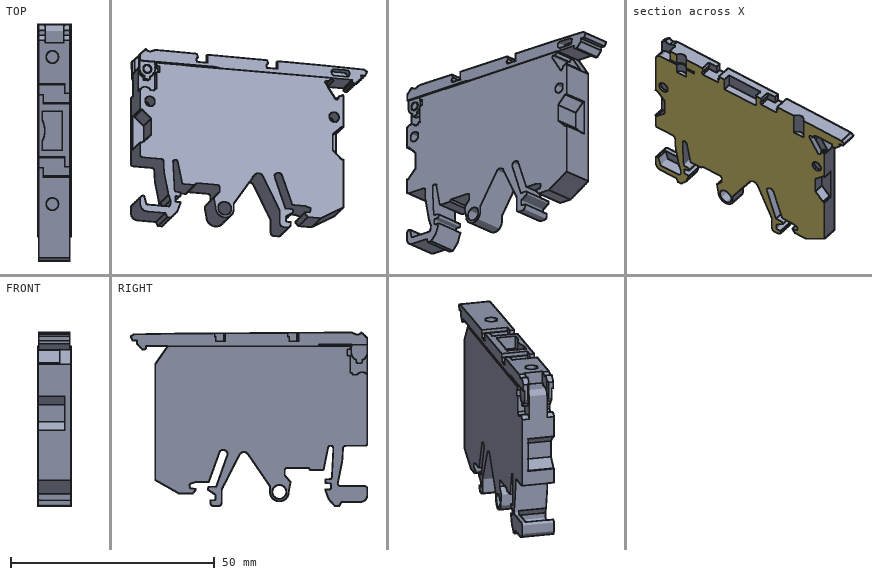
import cadquery as cq
import math


THICKNESS = 8.1
HOUSING_LENGTH = 52.0
HOUSING_TOP = 39.2
FRONT_CHAMFER_RUN = 48.9
FRONT_CHAMFER_Z = 34.8
BOTTOM_CORNER_Z = 6.4

BOSS_RUN = 21.6
BOSS_Z = 3.5
BOSS_RADIUS = 2.3
BOSS_HOLE_DIAMETER = 3.35
FOOT_TOP = 5.0
FOOT_POCKET_DEPTH = 6.95

SIDE_HOLE_RUNS = (2.5, 49.55)
SIDE_HOLE_Z = 29.25
SIDE_HOLE_DIAMETER = 2.5
SIDE_HOLE_DEPTH = 4.65
ENTRY_WIDTH = 6.6
ENTRY_DEPTH = 2.8
ENTRY_LIP = 0.45
ENTRY_TOP = 27.0
ENTRY_BOTTOM = 18.55
ENTRY_SLOPE = 2.15
CORNER_RECESS_WIDTH = 5.4

WEB_LEFT = 1.75
WEB_RIGHT = 6.3
WEB_ROUND = 2.0
HINGE_LENGTH = 4.2
HINGE_POCKET_BOTTOM = 32.15
HINGE_BUMP_WIDTH = 2.6
HINGE_BUMP_HEIGHT = 0.7
CATCH_DEPTH = 0.8
CATCH_WIDTH = 1.55
LUG_RADIUS = 2.0
LUG_RUN = LUG_RADIUS
LUG_Z = 37.65
LUG_INSET = 0.6
KEY_WIDTH = 1.45
KEY_BOTTOM = 35.05
KEY_ROUND = 0.35
PIN_DIAMETER = 1.9
PIN_HOLE_DIAMETER = 2.15
PIN_GROOVE_DEPTH = 0.1

LEVER_LEFT = 0.2
LEVER_RIGHT = 7.85
LEVER_TOP = 42.6
LEVER_BOTTOM = 39.6
LEVER_LENGTH = 58.05
GAP_OPEN_END = 11.85
GAP_TAPER_START = 19.15
GAP_END = 20.9
GAP_RECESS_X = 0.35
SCREW_X = 3.55
SCREW_RUNS = (8.0, 44.05)
SCREW_DIAMETER = 3.0
SCREW_DEPTH = 5.8
HINGE_SLOT_LENGTH = 4.45
HINGE_SLOT_FLARE = 0.4
CHANNEL_RUNS = (14.5, 32.45)
CHANNEL_FLOOR = 40.45
CHANNEL_LEFT_STEP = 1.35
CHANNEL_RIGHT_STEP = 6.55
CHANNEL_LENGTH = 5.0
CHANNEL_LEFT_LENGTH = 2.7
CHANNEL_RIGHT_START = 2.45
CHANNEL_LEDGE = 0.3
CHANNEL_LEDGE_Z = 41.5
RIB_DEPTH = 0.3
RIB_Z = 41.6
RIB_TOE = 0.1
UNDERCUT_DEPTH = 0.2
UNDERCUT_Z = 40.95
WINDOW_LEFT = 1.1
WINDOW_RIGHT = 5.9
WINDOW_START = 21.25
WINDOW_END = 30.9
WINDOW_BULGE = 0.6
WINDOW_BULGE_LENGTH = 5.0
GRIP_RUN = 51.25
GRIP_Z = 40.75
GRIP_LENGTH = 4.65
GRIP_HEIGHT = 1.7
GRIP_DEPTH = 2.3

OVERCUT = 0.6


def side_plane(x):
    """Sketch plane at a given X with run across and Z up; positive extrusion goes toward -X."""
    plane = cq.Plane(origin=(x, 0, 0), xDir=(0, -1, 0), normal=(-1, 0, 0))
    return cq.Workplane(plane)


def rounded_outline(sketch, corners):
    """Close a polygon of (x, y, radius) corners, rounding each one with a tangent arc."""
    pieces = []
    for index, (x, y, radius) in enumerate(corners):
        before = corners[index - 1]
        after = corners[(index + 1) % len(corners)]
        to_before = cq.Vector(before[0] - x, before[1] - y).normalized()
        to_after = cq.Vector(after[0] - x, after[1] - y).normalized()
        corner = cq.Vector(x, y)
        if radius == 0:
            pieces.append((corner,))
            continue
        half_angle = to_before.getAngle(to_after) / 2
        setback = radius / math.tan(half_angle)
        apex_gap = radius / math.sin(half_angle) - radius
        bisector = (to_before + to_after).normalized()
        arc_start = corner + to_before * setback
        arc_end = corner + to_after * setback
        pieces.append((arc_start, corner + bisector * apex_gap, arc_end))
    sketch = sketch.moveTo(pieces[0][-1].x, pieces[0][-1].y)
    for piece in pieces[1:] + pieces[:1]:
        sketch = sketch.lineTo(piece[0].x, piece[0].y)
        if len(piece) == 3:
            sketch = sketch.threePointArc((piece[1].x, piece[1].y), (piece[2].x, piece[2].y))
    return sketch.close()


def side_prism(corners, left, right):
    """Extrude a rounded side profile between two X positions."""
    return rounded_outline(side_plane(left), corners).extrude(left - right)


def sharp(points):
    """Give every point of a polygon a zero corner radius."""
    return [(x, y, 0) for x, y in points]


def side_box(run_start, run_end, z_low, z_high, left, right):
    """Box between two runs, two heights and two X positions."""
    corners = [(run_start, z_low), (run_end, z_low), (run_end, z_high), (run_start, z_high)]
    return side_prism(sharp(corners), left, right)


def side_cylinder(run, z, diameter, left, right):
    """Cylinder along X."""
    return side_plane(left).center(run, z).circle(diameter / 2).extrude(left - right)


def housing_block():
    """Full-thickness housing with its two rail feet and the middle boss."""
    back_foot = [
        (0, 14.75, 0.6), (5.9, 14.75, 0.6), (6.1, 11.3, 8.7), (7.35, FOOT_TOP, 0.6),
        (0, FOOT_TOP, 0.8), (0, 1.0, 1.75), (6.4, 1.0, 0), (6.9, 0, 0), (7.95, 0, 0),
        (9.5, 1.7, 2.3), (10.4, 4.1, 0), (8.95, 4.1, 0.35), (8.95, 5.55, 0.35),
        (10.35, 5.6, 0.3), (10.35, 6.6, 0.35), (8.75, 6.7, 0.45), (8.4, 13.3, 0),
        (8.4, 14.8, 0.5), (9.5, 14.8, 0.5), (10.75, 8.8, 0.35),
    ]
    boss_neck = [
        (14.05, 8.8, 0), (14.4, 9.35, 0), (20.25, 9.35, 0.5), (20.25, 7.6, 0),
        (18.8, 5.9, 0.3), (BOSS_RUN - BOSS_RADIUS, BOSS_Z, 0),
        (BOSS_RUN + BOSS_RADIUS, BOSS_Z, 0), (23.9, 4.9, 0.3), (30.4, 14.4, 1.2),
    ]
    front_foot = [
        (35.7, 4.05, 0.6), (35.7, 0, 0.85), (38.5, 0, 0.8), (38.5, 1.45, 0),
        (37.25, 1.45, 0.3), (37.25, 2.8, 0.2), (39.1, 4.0, 0.25), (39.0, 4.75, 0.4),
        (37.1, 4.75, 0), (34.05, 13.35, 0.9), (35.9, 14.05, 0.9), (38.9, 5.85, 0.3),
    ]
    front_hook = [
        (42.15, 5.85, 0), (43.65, 5.4, 0.35), (43.4, 4.4, 0.25), (41.85, 4.2, 0.2),
        (42.8, 3.1, 0), (46.2, 3.1, 0), (HOUSING_LENGTH, BOTTOM_CORNER_Z, 0),
    ]
    top = sharp([
        (HOUSING_LENGTH, FRONT_CHAMFER_Z), (FRONT_CHAMFER_RUN, HOUSING_TOP), (0, HOUSING_TOP),
    ])
    outline = back_foot + boss_neck + front_foot + front_hook + top
    block = side_prism(outline, 0, THICKNESS)
    block = block.union(side_cylinder(BOSS_RUN, BOSS_Z, 2 * BOSS_RADIUS, 0, THICKNESS))
    return block.cut(side_cylinder(BOSS_RUN, BOSS_Z, BOSS_HOLE_DIAMETER, 0, THICKNESS))


def foot_pocket():
    """Trough in the back foot, open at the left face and on top."""
    corners = [
        (1.0, FOOT_TOP, 0), (1.6, 2.7, 0.35), (7.7, 2.7, 0.7), (7.7, 4.35, 0),
        (7.25, 5.75, 0), (6.6, FOOT_TOP, 0),
    ]
    return side_prism(corners, 0, FOOT_POCKET_DEPTH)


def entry_pocket(face_run, inward):
    """Wire-entry pocket in an end face; inward is the direction of its depth along the run."""
    mouth = face_run
    lip = face_run + inward * ENTRY_LIP
    floor = face_run + inward * ENTRY_DEPTH
    corners = [
        (mouth, ENTRY_TOP), (lip, ENTRY_TOP), (floor, ENTRY_TOP - ENTRY_SLOPE),
        (floor, ENTRY_BOTTOM + ENTRY_SLOPE), (lip, ENTRY_BOTTOM), (mouth, ENTRY_BOTTOM),
    ]
    return side_prism(sharp(corners), 0, ENTRY_WIDTH)


def corner_recess():
    """Marker recess sunk into the sloping front corner."""
    corners = [
        (48.9, 39.05, 0), (48.2, 38.2, 0), (47.7, 38.5, 0.25), (47.2, 38.05, 0.25),
        (50.15, 33.65, 0.25), (50.65, 34.1, 0.2), (50.8, 34.65, 0), (51.75, 35.05, 0),
        (51.75, 36.0, 0),
    ]
    return side_prism(corners, 0, CORNER_RECESS_WIDTH)


def hinge_pocket(left, right):
    """Clearance beside the hinge web, with a bumped floor and a catch notch for the lug key."""
    bump_end = (HINGE_BUMP_WIDTH, HINGE_POCKET_BOTTOM)
    bump_top = (HINGE_BUMP_WIDTH / 2, HINGE_POCKET_BOTTOM + HINGE_BUMP_HEIGHT)
    floor_round = 0.6
    pocket = (
        side_plane(left)
        .moveTo(0, HINGE_POCKET_BOTTOM)
        .threePointArc(bump_top, bump_end)
        .lineTo(HINGE_LENGTH - floor_round, HINGE_POCKET_BOTTOM)
        .radiusArc((HINGE_LENGTH, HINGE_POCKET_BOTTOM + floor_round), floor_round)
        .lineTo(HINGE_LENGTH, HOUSING_TOP)
        .lineTo(0, HOUSING_TOP)
        .close()
        .extrude(left - right)
    )
    catch_end = HINGE_LENGTH + CATCH_DEPTH
    catch_low = LUG_Z - CATCH_WIDTH / 2
    catch_high = LUG_Z + CATCH_WIDTH / 2
    catch = [
        (HINGE_LENGTH - OVERCUT, catch_low, 0), (catch_end, catch_low, KEY_ROUND),
        (catch_end, catch_high, KEY_ROUND), (HINGE_LENGTH - OVERCUT, catch_high, 0),
    ]
    return pocket.union(side_prism(catch, left, right))


def web_rounding():
    """Waste above the rounded back corner of the hinge web."""
    corner = side_box(0, WEB_ROUND, HOUSING_TOP - WEB_ROUND, HOUSING_TOP, 0, THICKNESS)
    return corner.cut(
        side_cylinder(WEB_ROUND, HOUSING_TOP - WEB_ROUND, 2 * WEB_ROUND, 0, THICKNESS)
    )


def hinge_lug(left, right):
    """Round-ended lever lug with a key at its lower end."""
    lug = side_cylinder(LUG_RUN, LUG_Z, 2 * LUG_RADIUS, left, right)
    neck = side_box(LUG_RUN - LUG_RADIUS, LUG_RUN + LUG_RADIUS, LUG_Z, LEVER_BOTTOM, left, right)
    key_back = LUG_RUN - KEY_WIDTH / 2
    key_front = LUG_RUN + KEY_WIDTH / 2
    key = [
        (key_back, KEY_BOTTOM, KEY_ROUND), (key_front, KEY_BOTTOM, KEY_ROUND),
        (key_front, LUG_Z, 0), (key_back, LUG_Z, 0),
    ]
    return lug.union(neck).union(side_prism(key, left, right))


def pin_groove():
    """Ring groove around the hinge pin in the left lug."""
    floor = LUG_INSET + PIN_GROOVE_DEPTH
    hole = side_cylinder(LUG_RUN, LUG_Z, PIN_HOLE_DIAMETER, LUG_INSET, floor)
    return hole.cut(side_cylinder(LUG_RUN, LUG_Z, PIN_DIAMETER, LUG_INSET, floor))


def lever_bar():
    """Lever with a notched back end and a hooked front nose; its underside lifts at the back."""
    return (
        side_plane(LEVER_LEFT)
        .moveTo(0, LEVER_BOTTOM)
        .lineTo(0, 41.2)
        .lineTo(1.45, LEVER_TOP)
        .threePointArc((2.0, 42.2), (2.65, 42.1))
        .lineTo(3.9, LEVER_TOP)
        .lineTo(47.25, 42.3)
        .lineTo(57.2, 42.15)
        .lineTo(LEVER_LENGTH, 41.6)
        .lineTo(57.85, 41.15)
        .lineTo(57.5, 40.55)
        .lineTo(56.45, 40.55)
        .lineTo(56.45, 39.75)
        .lineTo(55.1, 38.35)
        .lineTo(54.65, 38.35)
        .lineTo(54.2, 38.65)
        .lineTo(54.2, HOUSING_TOP)
        .lineTo(GAP_END, HOUSING_TOP)
        .lineTo(GAP_TAPER_START, LEVER_BOTTOM)
        .close()
        .extrude(LEVER_LEFT - LEVER_RIGHT)
    )


def gap_filler():
    """Block that closes the slit under the lever beyond its open stretch."""
    return side_box(GAP_OPEN_END, GAP_END, HOUSING_TOP, LEVER_BOTTOM, GAP_RECESS_X, LEVER_RIGHT)


def top_prism(points, z_low, z_high):
    """Extrude a plan polygon of (X, run) points between two heights."""
    plan = [(x, -run) for x, run in points]
    return cq.Workplane("XY").workplane(offset=z_low).polyline(plan).close().extrude(z_high - z_low)


def hinge_slot():
    """Slot in the lever and between its lugs that clears the hinge web, flared at its mouth."""
    points = [
        (WEB_LEFT - HINGE_SLOT_FLARE, 0), (WEB_LEFT, HINGE_SLOT_FLARE),
        (WEB_LEFT, HINGE_SLOT_LENGTH), (WEB_RIGHT, HINGE_SLOT_LENGTH),
        (WEB_RIGHT, HINGE_SLOT_FLARE), (WEB_RIGHT + HINGE_SLOT_FLARE, 0),
    ]
    return top_prism(points, KEY_BOTTOM, LEVER_TOP)


def channel(start):
    """Z-shaped channel across the lever, with a ribbed, undercut back wall and a ledge on the front wall."""
    left_end = start + CHANNEL_LEFT_LENGTH
    right_start = start + CHANNEL_RIGHT_START
    end = start + CHANNEL_LENGTH
    ledge = end - CHANNEL_LEDGE

    def plan(front):
        return [
            (0, start), (CHANNEL_RIGHT_STEP, start), (CHANNEL_RIGHT_STEP, right_start),
            (THICKNESS, right_start), (THICKNESS, front), (CHANNEL_LEFT_STEP, front),
            (CHANNEL_LEFT_STEP, left_end), (0, left_end),
        ]

    lower = top_prism(plan(ledge), CHANNEL_FLOOR, LEVER_TOP)
    upper = top_prism(plan(end), CHANNEL_LEDGE_Z, LEVER_TOP)
    rib = [
        (start, LEVER_TOP), (start + RIB_DEPTH, RIB_Z), (start - UNDERCUT_DEPTH, UNDERCUT_Z),
        (start + RIB_TOE, CHANNEL_FLOOR),
        (start - OVERCUT, CHANNEL_FLOOR), (start - OVERCUT, LEVER_TOP),
    ]
    undercut = side_box(
        start - UNDERCUT_DEPTH, start, CHANNEL_FLOOR, RIB_Z, 0, CHANNEL_RIGHT_STEP
    )
    return lower.union(upper).union(undercut).cut(side_prism(sharp(rib), 0, CHANNEL_RIGHT_STEP))


def window():
    """Opening in the middle of the lever, with a bulge on its left wall."""
    middle = (WINDOW_START + WINDOW_END) / 2
    bulge_start = middle - WINDOW_BULGE_LENGTH / 2
    bulge_end = middle + WINDOW_BULGE_LENGTH / 2
    return (
        cq.Workplane("XY")
        .workplane(offset=HOUSING_TOP)
        .moveTo(WINDOW_LEFT, -WINDOW_START)
        .lineTo(WINDOW_LEFT, -bulge_start)
        .threePointArc((WINDOW_LEFT + WINDOW_BULGE, -middle), (WINDOW_LEFT, -bulge_end))
        .lineTo(WINDOW_LEFT, -WINDOW_END)
        .lineTo(WINDOW_RIGHT, -WINDOW_END)
        .lineTo(WINDOW_RIGHT, -WINDOW_START)
        .close()
        .extrude(LEVER_TOP - HOUSING_TOP)
    )


def grip_slot():
    """Blind oblong slot in the left side of the lever."""
    return (
        side_plane(LEVER_LEFT)
        .center(GRIP_RUN, GRIP_Z)
        .slot2D(GRIP_LENGTH, GRIP_HEIGHT)
        .extrude(-GRIP_DEPTH)
    )


def screw_hole(run):
    """Blind screw access hole in the top of the lever."""
    return (
        cq.Workplane("XY")
        .workplane(offset=LEVER_TOP)
        .center(SCREW_X, -run)
        .circle(SCREW_DIAMETER / 2)
        .extrude(-SCREW_DEPTH)
    )


housing = housing_block().cut(foot_pocket()).cut(corner_recess())
housing = housing.cut(entry_pocket(0, 1)).cut(entry_pocket(HOUSING_LENGTH, -1))
for hole_run in SIDE_HOLE_RUNS:
    housing = housing.cut(
        side_cylinder(hole_run, SIDE_HOLE_Z, SIDE_HOLE_DIAMETER, 0, SIDE_HOLE_DEPTH)
    )
housing = housing.cut(hinge_pocket(0, WEB_LEFT)).cut(hinge_pocket(WEB_RIGHT, THICKNESS))
housing = housing.cut(web_rounding())

lever = lever_bar()
lever = lever.union(hinge_lug(LUG_INSET, WEB_LEFT))
lever = lever.union(hinge_lug(WEB_RIGHT, THICKNESS - LUG_INSET))
lever = lever.cut(hinge_slot()).cut(pin_groove()).cut(window()).cut(grip_slot())
for channel_run in CHANNEL_RUNS:
    lever = lever.cut(channel(channel_run))

result = housing.union(lever).union(gap_filler())
for screw_run in SCREW_RUNS:
    result = result.cut(screw_hole(screw_run))